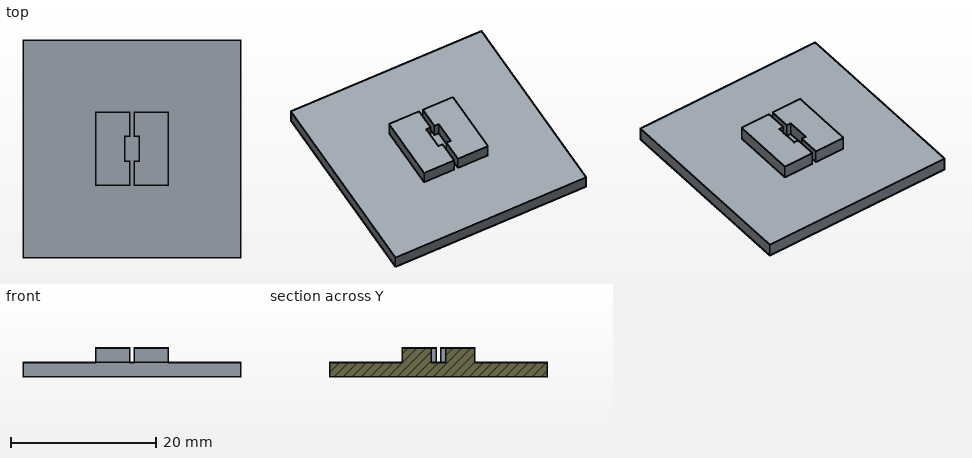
import cadquery as cq

plate_side = 30.0
plate_thickness = 2.0

total_height = 4.0
block_side = 10.05
block_height = total_height - plate_thickness

slot_width = 0.6
pocket_width = 1.95
pocket_length = 3.45


def box_on_plate(size_x, size_y):
    """Centred box standing on the plate, as tall as the raised block."""
    return (
        cq.Workplane("XY")
        .workplane(offset=plate_thickness)
        .rect(size_x, size_y)
        .extrude(block_height)
    )


plate = cq.Workplane("XY").rect(plate_side, plate_side).extrude(plate_thickness)

split_block = (
    box_on_plate(block_side, block_side)
    .cut(box_on_plate(slot_width, block_side))
    .cut(box_on_plate(pocket_width, pocket_length))
)

result = plate.union(split_block)